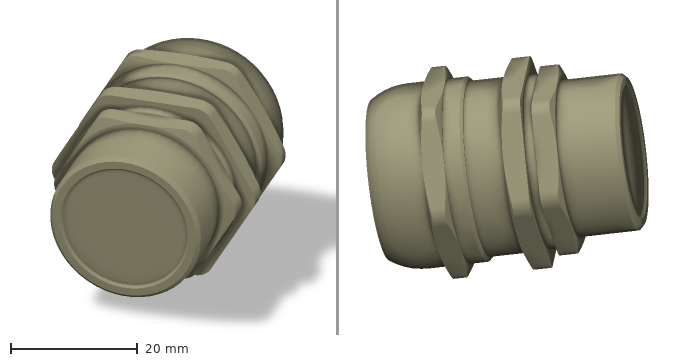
import cadquery as cq
import math

length = 40.7

thread_diameter = 25.0
thread_tip_diameter = 23.8
thread_chamfer = (thread_diameter - thread_tip_diameter) / 2
recess_rim_diameter = 21.25
recess_floor_diameter = 20.45
recess_depth = 0.4

lock_nut_flats = 26.88
lock_nut_corner = 2.85
lock_nut_drop = 0.6
body_flats = 30.0
body_corner = 3.0
body_drop = 0.7

lock_nut_start = 10.0
lock_nut_end = 13.5
body_hex_start = 15.0
hex_thickness = 3.55
cap_start = 24.7
cap_hex_start = 27.97
dome_start = 34.75

seal_diameter = 27.77
seal_fillet = 0.6
body_diameter = 28.0
cap_diameter = 29.5
cap_chamfer = 0.45
dome_end_diameter = 25.75


def turned(profile):
    """Revolve a closed half profile in XY about the Y axis."""
    return profile.close().revolve(360, (0, 0, 0), (0, 1, 0))


def cylinder(diameter, start, end):
    return turned(cq.Workplane("XY").moveTo(0, start).lineTo(diameter / 2, start)
                  .lineTo(diameter / 2, end).lineTo(0, end))


def hexagon(flats, corner_radius, drop, start, end, chamfer_start, chamfer_end):
    """Hexagon with rounded corners and conical chamfers on the chosen faces."""
    thickness = end - start
    point_diameter = flats / math.cos(math.pi / 6)
    prism = (cq.Workplane("XZ", origin=(0, start, 0)).polygon(6, point_diameter)
             .extrude(-thickness).edges("|Y").fillet(corner_radius))
    face_radius = flats / 2
    corner_reach = point_diameter / 2 - corner_radius * (1 / math.cos(math.pi / 6) - 1)
    envelope = cq.Workplane("XY").moveTo(0, start)
    if chamfer_start:
        envelope = envelope.lineTo(face_radius, start).lineTo(corner_reach, start + drop)
    else:
        envelope = envelope.lineTo(corner_reach, start)
    if chamfer_end:
        envelope = envelope.lineTo(corner_reach, end - drop).lineTo(face_radius, end)
    else:
        envelope = envelope.lineTo(corner_reach, end)
    envelope = envelope.lineTo(0, end)
    return prism.intersect(turned(envelope))


def threaded_end():
    return turned(
        cq.Workplane("XY").moveTo(0, recess_depth)
        .lineTo(recess_floor_diameter / 2, recess_depth)
        .lineTo(recess_rim_diameter / 2, 0)
        .lineTo(thread_tip_diameter / 2, 0)
        .lineTo(thread_diameter / 2, thread_chamfer)
        .lineTo(thread_diameter / 2, lock_nut_start)
        .lineTo(0, lock_nut_start))


def seal():
    """Sealing ring, rounded where it meets the lock nut."""
    return cylinder(seal_diameter, lock_nut_end, body_hex_start).edges("<Y").fillet(seal_fillet)


def cap():
    """Domed cap; the dome arc leaves the cylinder tangentially."""
    cap_radius = cap_diameter / 2
    return turned(
        cq.Workplane("XY").moveTo(0, cap_start)
        .lineTo(cap_radius - cap_chamfer, cap_start)
        .lineTo(cap_radius, cap_start + cap_chamfer)
        .lineTo(cap_radius, dome_start)
        .tangentArcPoint((dome_end_diameter / 2, length), relative=False)
        .lineTo(0, length))


lock_nut = hexagon(lock_nut_flats, lock_nut_corner, lock_nut_drop,
                   lock_nut_start, lock_nut_end, True, False)
body_hex = hexagon(body_flats, body_corner, body_drop,
                   body_hex_start, body_hex_start + hex_thickness, False, True)
cap_hex = hexagon(body_flats, body_corner, body_drop,
                  cap_hex_start, cap_hex_start + hex_thickness, True, True)
body = cylinder(body_diameter, body_hex_start, cap_start)

result = threaded_end()
for section in (lock_nut, seal(), body_hex, body, cap(), cap_hex):
    result = result.union(section)